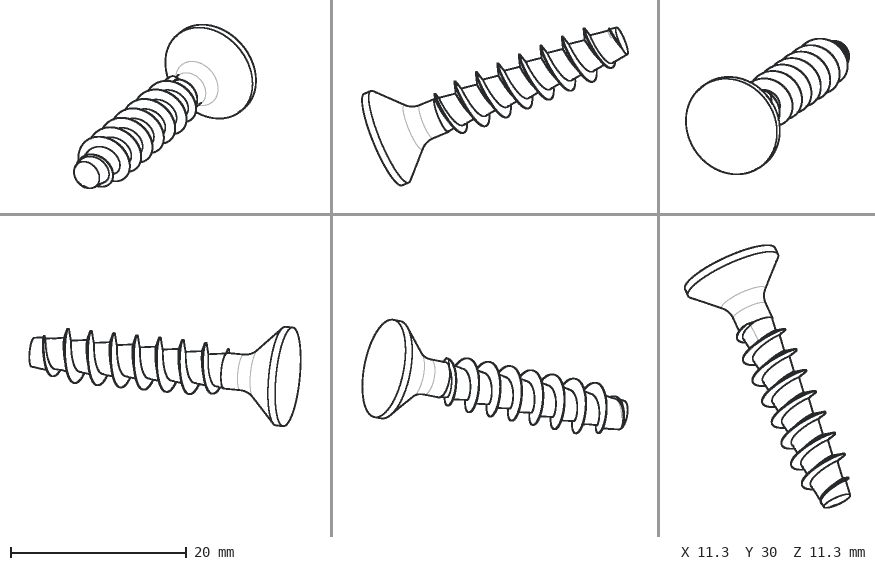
import math

import cadquery as cq

LENGTH = 30.0
TIP_Y = -LENGTH

HEAD_RADIUS = 5.65
RIM_HEIGHT = 0.85
HEAD_ANGLE = math.radians(45)
NECK_FILLET = 2.35
SHANK_RADIUS = 2.05
SHANK_END_Y = -7.35

PITCH = 2.7
ROOT_RADIUS = 1.98
ROOT_SLOPE = 0.137
CORE_RADIUS = 1.7
LEAD_IN_RADIUS = 2.0
TIP_RADIUS = 1.64
CORE_INSET = 0.04
RIDGE_INNER_RADIUS = 1.2

CREST_RADIUS = 3.05
CREST_HALF_WIDTH = 0.05
FLANK_SLOPE = 0.31
THREAD_REF_Y = -7.1
FIRST_TURN = -1.0
LAST_TURN = 8.55
SAMPLES_PER_TURN = 24
MIN_RIDGE_HEIGHT = 0.02
SEAM_GAP = 0.03
FUSE_TOLERANCE = 1e-4

START_CREST_RADIUS = 2.5
RISE_TURNS = 1.25
RUNOUT_TURN = 7.1
RUNOUT_PER_TURN = 1.13


def ridge_y(turn):
    """Axial position of the ridge centre."""
    return THREAD_REF_Y - PITCH * turn


def root_radius(turn):
    """Root radius beside the ridge, limited by the cone that ends at the tip."""
    tip_cone_radius = TIP_RADIUS + ROOT_SLOPE * (ridge_y(turn) - TIP_Y)
    return min(ROOT_RADIUS, tip_cone_radius)


def crest_radius(turn):
    rise = min(max(turn / RISE_TURNS, 0.0), 1.0)
    radius = START_CREST_RADIUS + (CREST_RADIUS - START_CREST_RADIUS) * rise
    radius -= RUNOUT_PER_TURN * max(turn - RUNOUT_TURN, 0.0)
    return max(radius, root_radius(turn) + MIN_RIDGE_HEIGHT)


def flank_reach(turn, radius):
    """Axial distance from the ridge centre to its flank at a given radius."""
    return CREST_HALF_WIDTH + FLANK_SLOPE * max(crest_radius(turn) - radius, 0.0)


def ridge_profile(turn):
    """Corners (radius, y) of the ridge and of the sloped root that follows it."""
    centre = ridge_y(turn)
    crest = crest_radius(turn)
    root = root_radius(turn)
    head_side = centre + flank_reach(turn, CORE_RADIUS)
    root_start = centre - flank_reach(turn, root)
    root_end = centre - PITCH + flank_reach(turn + 1, CORE_RADIUS) + SEAM_GAP
    root_end_radius = root - ROOT_SLOPE * (root_start - root_end)
    return [
        (RIDGE_INNER_RADIUS, head_side),
        (min(CORE_RADIUS, root), head_side),
        (crest, centre + CREST_HALF_WIDTH),
        (crest, centre - CREST_HALF_WIDTH),
        (root, root_start),
        (root_end_radius, root_end),
        (RIDGE_INNER_RADIUS, root_end),
    ]


def profile_points(turn):
    """Ridge profile placed around the axis; turn 0 lies on the +Z side."""
    angle = math.pi / 2 + 2 * math.pi * turn
    return [cq.Vector(r * math.cos(angle), y, r * math.sin(angle)) for r, y in ridge_profile(turn)]


def make_thread():
    """Solid bounded by ruled helical faces between neighbouring profile corners."""
    steps = math.ceil((LAST_TURN - FIRST_TURN) * SAMPLES_PER_TURN)
    turns = [FIRST_TURN + (LAST_TURN - FIRST_TURN) * i / steps for i in range(steps + 1)]
    sections = [profile_points(turn) for turn in turns]
    helices = [cq.Edge.makeSpline(list(path), parameters=turns) for path in zip(*sections)]

    faces = []
    for previous, helix in zip(helices[-1:] + helices[:-1], helices):
        faces.append(cq.Face.makeRuledSurface(previous, helix))
    for section in (sections[0], sections[-1]):
        faces.append(cq.Face.makeFromWires(cq.Wire.makePolygon(section, close=True)))

    thread = cq.Workplane(cq.Solid.makeSolid(cq.Shell.makeShell(faces)))
    return thread.intersect(make_thread_zone())


def make_thread_zone():
    """Cylinder from the shank end to the tip, wider than the thread."""
    zone = cq.Workplane("XZ", origin=(0, SHANK_END_Y, 0))
    return zone.circle(2 * CREST_RADIUS).extrude(SHANK_END_Y - TIP_Y)


def make_body():
    """Head, neck fillet, shank, lead-in cone and inner core as one revolved outline."""
    fillet_centre_radius = SHANK_RADIUS + NECK_FILLET
    cone_end_radius = fillet_centre_radius - NECK_FILLET * math.cos(HEAD_ANGLE)
    cone_end_y = -RIM_HEIGHT - (HEAD_RADIUS - cone_end_radius) / math.tan(HEAD_ANGLE)
    fillet_end_y = cone_end_y - NECK_FILLET * math.sin(HEAD_ANGLE)
    mid_angle = HEAD_ANGLE / 2
    fillet_mid = (
        fillet_centre_radius - NECK_FILLET * math.cos(mid_angle),
        fillet_end_y + NECK_FILLET * math.sin(mid_angle),
    )
    lead_in_end_y = SHANK_END_Y - (LEAD_IN_RADIUS - CORE_RADIUS) / ROOT_SLOPE
    core_tip_radius = TIP_RADIUS - CORE_INSET
    core_end_y = TIP_Y + (CORE_RADIUS - core_tip_radius) / ROOT_SLOPE

    outline = (
        cq.Workplane("XY")
        .lineTo(HEAD_RADIUS, 0)
        .lineTo(HEAD_RADIUS, -RIM_HEIGHT)
        .lineTo(cone_end_radius, cone_end_y)
        .threePointArc(fillet_mid, (SHANK_RADIUS, fillet_end_y))
        .lineTo(SHANK_RADIUS, SHANK_END_Y)
        .lineTo(LEAD_IN_RADIUS, SHANK_END_Y)
        .lineTo(CORE_RADIUS, lead_in_end_y)
        .lineTo(CORE_RADIUS, core_end_y)
        .lineTo(core_tip_radius, TIP_Y)
        .lineTo(0, TIP_Y)
        .close()
    )
    return outline.revolve(360, (0, 0, 0), (0, 1, 0))


screw = make_body().union(make_thread(), tol=FUSE_TOLERANCE)
result = screw.solids()